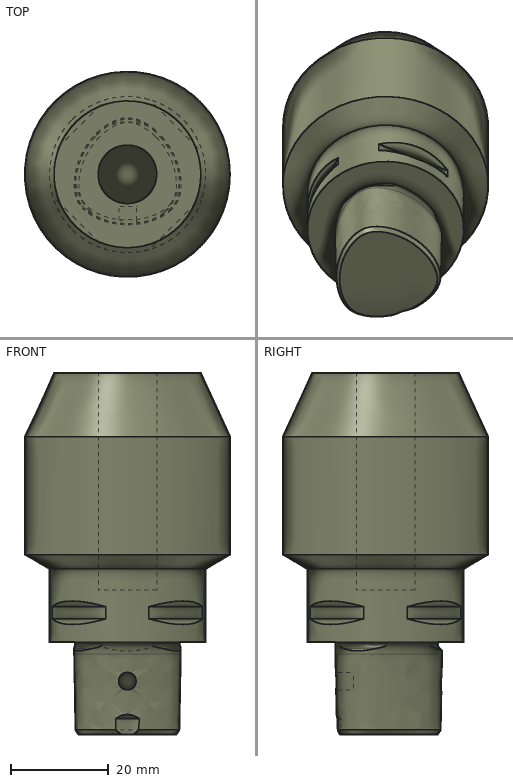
import cadquery as cq
import math

height = 74.0
flange_bottom = 18.95
flange_top = 33.9
body_bottom = 36.85
body_top = 61.0

body_radius = 21.0
flange_radius = 16.0
nose_radius = 15.0
bore_radius = 6.0
bore_depth = 44.4

shank_radius = 10.95
lobe_height = 0.7
taper_top = 16.5
taper_reduction = 0.3
tip_chamfer_height = 0.95
tip_chamfer_width = 0.7
section_points = 48

neck_radius = 10.7
neck_floor_z = 18.5
neck_floor_curve = 1.2
neck_outer_radius = 13.3

slot_count = 4
slot_center_z = 24.95
slot_floor_height = 2.45
slot_mouth_height = 4.8
slot_depth = 2.0

side_hole_radius = 1.8
side_hole_z = 10.95
side_hole_depth = 3.7
notch_radius = 4.6
notch_floor_y = -9.2
notch_wall_height = 3.25
notch_tip_half_angle = 45.0


def make_body():
    """Revolve the flange, back cone, cylinder and nose cone, then bore the nose."""
    profile = [
        (0, flange_bottom),
        (flange_radius, flange_bottom),
        (flange_radius, flange_top),
        (body_radius, body_bottom),
        (body_radius, body_top),
        (nose_radius, height),
        (0, height),
    ]
    body = cq.Workplane("XZ").polyline(profile).close().revolve(360, (0, 0), (0, 1))
    bore = cq.Workplane("XY").workplane(offset=height).circle(bore_radius).extrude(-bore_depth)
    return body.cut(bore)


def lobed_point(mean_radius, angle):
    """Point of a smooth trilobe, found from its edge distance in the direction of the angle."""
    edge_distance = mean_radius - lobe_height * math.sin(3 * angle)
    slide = -3 * lobe_height * math.cos(3 * angle)
    x = edge_distance * math.cos(angle) - slide * math.sin(angle)
    y = edge_distance * math.sin(angle) + slide * math.cos(angle)
    return x, y


def lobed_wire(mean_radius, z):
    points = []
    for index in range(section_points):
        x, y = lobed_point(mean_radius, 2 * math.pi * index / section_points)
        points.append(cq.Vector(x, y, z))
    return cq.Wire.assembleEdges([cq.Edge.makeSpline(points, periodic=True)])


def make_shank():
    """Stack the chamfered tip, the tapered length and the straight top."""
    taper_bottom_radius = shank_radius - taper_reduction
    sections = [
        lobed_wire(taper_bottom_radius - tip_chamfer_width, 0),
        lobed_wire(taper_bottom_radius, tip_chamfer_height),
        lobed_wire(shank_radius, taper_top),
        lobed_wire(shank_radius, flange_bottom),
    ]
    return cq.Workplane(cq.Solid.makeLoft(sections, True))


def make_neck_relief():
    """Ring with a rounded floor and a 45 degree lower flank, removed from the lobe crests."""
    curve_center_x = neck_radius + neck_floor_curve
    diagonal = neck_floor_curve * math.sqrt(0.5)
    rise = flange_bottom - neck_floor_z
    top_x = curve_center_x - math.sqrt(neck_floor_curve**2 - rise**2)
    flank_x = curve_center_x - diagonal
    flank_z = neck_floor_z - diagonal
    profile = (
        cq.Workplane("XZ")
        .moveTo(neck_outer_radius, flange_bottom)
        .lineTo(top_x, flange_bottom)
        .threePointArc((neck_radius, neck_floor_z), (flank_x, flank_z))
        .lineTo(neck_outer_radius, flank_z - (neck_outer_radius - flank_x))
        .close()
    )
    return profile.revolve(360, (0, 0), (0, 1))


def make_slot(angle):
    """Straight slot with a flat floor and flared flanks, facing the given direction."""
    floor_x = flange_radius - slot_depth
    half_floor = slot_floor_height / 2
    half_mouth = slot_mouth_height / 2
    profile = [
        (floor_x, slot_center_z - half_floor),
        (flange_radius, slot_center_z - half_mouth),
        (flange_radius, slot_center_z + half_mouth),
        (floor_x, slot_center_z + half_floor),
    ]
    slot = cq.Workplane("XZ").polyline(profile).close().extrude(flange_radius, both=True)
    return slot.rotate((0, 0, 0), (0, 0, 1), angle)


def make_side_hole():
    """Blind radial hole, measured inwards from the -Y flat of the shank."""
    floor_y = -(shank_radius - lobe_height) + side_hole_depth
    plane = cq.Workplane("XZ", origin=(0, floor_y, side_hole_z))
    return plane.circle(side_hole_radius).extrude(shank_radius)


def make_tip_notch():
    """Shallow vertical round notch with a conical roof, open at the shank tip and side."""
    cone_height = notch_radius / math.tan(math.radians(notch_tip_half_angle))
    profile = [
        (0, 0),
        (notch_radius, 0),
        (notch_radius, notch_wall_height),
        (0, notch_wall_height + cone_height),
    ]
    plane = cq.Workplane("XZ", origin=(0, notch_floor_y - notch_radius, 0))
    return plane.polyline(profile).close().revolve(360, (0, 0), (0, 1))


shank = make_shank().cut(make_neck_relief()).cut(make_side_hole()).cut(make_tip_notch())
result = make_body().union(shank)
for slot_index in range(slot_count):
    result = result.cut(make_slot((slot_index + 0.5) * 360 / slot_count))